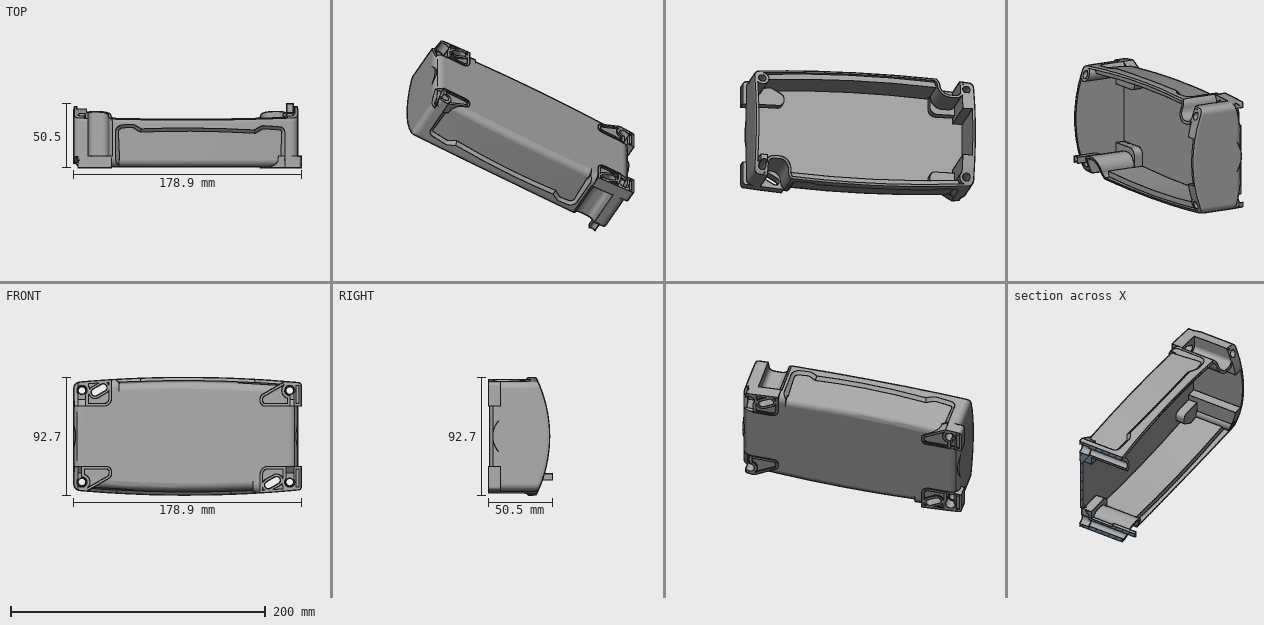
import cadquery as cq
import math


body_half_length = 88.08
body_half_width = 46.365
side_radius = 950.0
corner_radius = 5.3
front_y = 0.8
front_end_radius = 7.0
dome_top = 48.2
dome_radius = 104.0
rim_bevel_depth = 1.6
rim_bevel_inset = 0.5
bump_radius = 18.4
bump_low_y = 3.4

front_side_radius = 5.8
panel_front_depth = 3.8
panel_draft = 2.6
core_sweep = 14.0
panel_flare_z = 39.0
panel_flare_height = 8.7
panel_front_z = 34.0
panel_front_overrun = 3.0
panel_start = -49.6
panel_end = 73.6
panel_top = 27.8
panel_dip_top = 24.0
panel_dip_start = -37.0
panel_dip_end = 55.5
panel_dip_ramp = 6.0
panel_wall_angle = 45.0

notch_end = 77.0
notch_flat_end = 68.8
notch_crest = 52.6
notch_floor = 30.0
notch_floor_radius = 4.0

wall = 2.5
rim_wall = 2.0
rim_cavity_y = 35.0
floor_thickness = 2.6
cavity_corner_radius = 3.0

foot_height = 9.3
foot_inner_x = 58.4
foot_inner_z = 23.7
foot_outer_left = 84.9
foot_outer_right = 90.85
foot_corner_radius = 6.0
foot_outer_corner_radius = 2.5
brace_angle = 30.0
brace_start_z = 31.9
brace_tip_radius = 4.0
foot_lip = 2.0
pocket_depth = 1.2

hole_x = 81.65
hole_z = 35.95
hole_diameter = 5.9
counterbore_diameter = 8.0
counterbore_depth = 8.5
post_radius = 5.3
post_web_inner_x = 78.0
post_web_low_z = 19.0
pocket_post_radius = 6.3
slot_x = 68.1
slot_z = 36.4
slot_length = 13.3
slot_width = 5.8
slot_collar = 2.0
channel_outer_x = 84.9
square_channel_inner_x = 78.7
brace_channel_inner_x = 81.9
channel_ramp_z = 28.8
channel_mouth_depth = 4.0
channel_wall = 2.2
groove_inner_x = 86.6
groove_outer_x = 89.1
groove_low_z = 25.6
groove_high_z = 40.0

relief_high_y = 9.3
relief_high_z = 43.0
relief_low_y = 4.3
peg_width = 5.4
peg_x = 81.9
peg_low_z = -34.4
peg_high_z = -29.4
peg_base_y = 30.0
peg_top = 50.5

beyond = 60.0


def plan(y):
    """Workplane at height y whose local axes are X and Z; extrude(-d) goes towards +Y."""
    return cq.Workplane("XZ", origin=(0, y, 0))


def side_z(x, half_width):
    """Height of the bowed side at position x."""
    return half_width - side_radius + math.sqrt(side_radius**2 - x**2)


def bowed_prism(left, right, half_width, y_low, y_high):
    """Prism with two straight ends and two bowed long sides."""
    return (
        plan(y_low)
        .moveTo(left, -side_z(left, half_width))
        .threePointArc((0, -half_width), (right, -side_z(right, half_width)))
        .lineTo(right, side_z(right, half_width))
        .threePointArc((0, half_width), (left, side_z(left, half_width)))
        .close()
        .extrude(-(y_high - y_low))
    )


def turned(shape):
    """Copy of a shape turned half a revolution about the Y axis."""
    return shape.rotate((0, 0, 0), (0, 1, 0), 180)


def place(shape, side_x, side_z_sign):
    """Mirror a shape drawn in the +X +Z corner into another corner."""
    if side_x < 0:
        shape = shape.mirror("YZ")
    if side_z_sign < 0:
        shape = shape.mirror("XY")
    return shape


def make_dome():
    """Long cylinder whose crown limits the back of the housing."""
    return (
        cq.Workplane("YZ", origin=(-2 * beyond, 0, 0))
        .center(dome_top - dome_radius, 0)
        .circle(dome_radius)
        .extrude(4 * beyond)
    )


def make_body(dome):
    """Solid outer form: bowed sides, domed back, rounded front and a round bump on each end."""
    body = bowed_prism(-body_half_length, body_half_length, body_half_width, front_y, dome_top + 1)
    body = body.edges("|Y").fillet(corner_radius).intersect(dome)
    body = body.faces("<Y").edges().fillet(front_end_radius)
    for end in ("<X", ">X"):
        body = body.faces(end).edges(">Y").chamfer(rim_bevel_inset, rim_bevel_depth)
    bump = (
        cq.Workplane("YZ", origin=(-body_half_length, 0, 0))
        .center(bump_low_y + bump_radius, 0)
        .circle(bump_radius)
        .extrude(2 * body_half_length)
    )
    return body.union(bump)


def make_panel_core():
    """Solid under the +Z panel: drafted floor and rounded front edge, swept along the bow."""
    draft = math.radians(panel_draft)
    front_z = body_half_width - panel_front_depth
    tangent = front_side_radius * math.tan(math.radians((90 - panel_draft) / 2))
    back_z = front_z + (dome_top - front_y) * math.tan(draft)
    axis_z = body_half_width - side_radius
    profile = (
        cq.Workplane("YZ")
        .moveTo(front_y, 0)
        .lineTo(front_y, front_z - tangent)
        .tangentArcPoint(
            (front_y + tangent * math.cos(draft), front_z + tangent * math.sin(draft)), relative=False
        )
        .lineTo(dome_top, back_z)
        .lineTo(dome_top, 0)
        .close()
    )
    core = profile.revolve(core_sweep, (0, axis_z, 0), (1, axis_z, 0))
    return core.rotate((0, 0, axis_z), (0, 1, axis_z), -core_sweep / 2)


def make_panel_cutter():
    """Flaring recess in the +Z side; its floor is the bowed side moved inward."""
    core = make_panel_core()
    outline = [
        (panel_start, -foot_height),
        (panel_start, panel_top),
        (panel_dip_start - panel_dip_ramp, panel_top),
        (panel_dip_start, panel_dip_top),
        (panel_dip_end, panel_dip_top),
        (panel_dip_end + panel_dip_ramp, panel_top),
        (panel_end, panel_top),
        (panel_end, -foot_height),
    ]
    flare = (
        cq.Workplane("XY", origin=(0, 0, panel_flare_z))
        .polyline(outline)
        .close()
        .extrude(panel_flare_height, taper=-panel_wall_angle)
    )
    front_strip = (
        plan(-foot_height)
        .moveTo(panel_start - panel_front_overrun, panel_front_z)
        .lineTo(panel_end + panel_front_overrun, panel_front_z)
        .lineTo(panel_end + panel_front_overrun, beyond)
        .lineTo(panel_start - panel_front_overrun, beyond)
        .close()
        .extrude(-(foot_height + front_y + front_side_radius))
    )
    return flare.union(front_strip).cut(core)


def make_notch(margin=0.0):
    """Notch in the -X +Z corner; a margin gives the shape grown by a wall thickness."""
    middle_x = (notch_flat_end + notch_crest) / 2
    middle_z = (notch_floor + body_half_width) / 2
    shape = (
        plan(foot_height if margin == 0 else 0)
        .moveTo(-notch_end, beyond)
        .lineTo(-notch_end, notch_floor + notch_floor_radius)
        .radiusArc((-notch_end + notch_floor_radius, notch_floor), -notch_floor_radius)
        .lineTo(-notch_flat_end, notch_floor)
        .tangentArcPoint((-middle_x, middle_z), relative=False)
        .tangentArcPoint((-notch_crest, body_half_width), relative=False)
        .lineTo(-notch_crest, beyond)
        .close()
    )
    if margin:
        shape = shape.offset2D(margin)
    return shape.extrude(-beyond)


def square_foot(outer_x, height):
    """Block with one rounded inner corner."""
    return (
        plan(0)
        .moveTo(foot_inner_x, beyond)
        .lineTo(foot_inner_x, foot_inner_z + foot_corner_radius)
        .radiusArc((foot_inner_x + foot_corner_radius, foot_inner_z), -foot_corner_radius)
        .lineTo(outer_x, foot_inner_z)
        .lineTo(outer_x, beyond)
        .close()
        .extrude(-height)
    )


def brace_foot(outer_x, height):
    """Block whose long side slants to a rounded tip."""
    rise = (outer_x - foot_inner_x) * math.tan(math.radians(brace_angle))
    foot = (
        plan(0)
        .moveTo(foot_inner_x, foot_inner_z)
        .lineTo(outer_x, foot_inner_z)
        .lineTo(outer_x, brace_start_z + rise)
        .lineTo(foot_inner_x, brace_start_z)
        .close()
        .extrude(-height)
    )
    return foot.edges("|Y and <X").fillet(brace_tip_radius)


def make_foot(outer_x, slotted, height):
    """Foot in the +X +Z corner, trimmed by the bowed side."""
    foot = square_foot(outer_x, height) if slotted else brace_foot(outer_x, height)
    limit = bowed_prism(-outer_x, outer_x, body_half_width, 0, height)
    limit = limit.edges("|Y").fillet(foot_outer_corner_radius)
    return foot.intersect(limit)


def make_slot(width, y_low, y_high):
    """Slanted slot shape; a greater width grows it evenly all round."""
    return (
        plan(y_low)
        .center(slot_x, slot_z)
        .slot2D(slot_length - slot_width + width, width, -brace_angle)
        .extrude(-(y_high - y_low))
    )


def make_post(radius, y_low, y_high):
    """Cylinder on the screw axis."""
    return plan(y_low).center(hole_x, hole_z).circle(radius).extrude(-(y_high - y_low))


def make_post_web():
    """Rib inside the housing that widens a left post towards the middle of the end."""
    return (
        plan(front_y)
        .moveTo(post_web_inner_x, hole_z)
        .lineTo(body_half_length - wall, hole_z)
        .lineTo(body_half_length - wall, post_web_low_z)
        .lineTo(post_web_inner_x, post_web_low_z)
        .close()
        .extrude(-dome_top)
    )


def make_pocket(slotted):
    """Shallow pocket in a foot's front face, clear of the slot collar and screw post."""
    if slotted:
        outline = square_foot(square_channel_inner_x - channel_wall + foot_lip, pocket_depth)
    else:
        outline = brace_foot(brace_channel_inner_x - channel_wall + foot_lip, pocket_depth)
    outline = outline.intersect(
        bowed_prism(-body_half_length, body_half_length, body_half_width, 0, pocket_depth)
    )
    rim = outline.faces("<Y").wires().vals()
    pocket = plan(0).add(rim).toPending().offset2D(-foot_lip).extrude(-pocket_depth)
    pocket = pocket.cut(make_post(pocket_post_radius, 0, pocket_depth))
    if slotted:
        pocket = pocket.cut(make_slot(slot_width + 2 * slot_collar, 0, pocket_depth))
    return pocket


def make_channel(slotted):
    """Counterbore with a channel whose floor ramps up towards the middle of the end."""
    inner_x = square_channel_inner_x if slotted else brace_channel_inner_x
    channel = (
        cq.Workplane("YZ", origin=(inner_x, 0, 0))
        .moveTo(0, hole_z)
        .lineTo(counterbore_depth, hole_z)
        .lineTo(counterbore_depth, channel_ramp_z)
        .lineTo(channel_mouth_depth, foot_inner_z)
        .lineTo(0, foot_inner_z)
        .close()
        .extrude(channel_outer_x - inner_x)
    )
    return channel.union(make_post(counterbore_diameter / 2, 0, counterbore_depth))


def make_groove():
    """Narrow groove in the outer strip of a right foot."""
    return (
        plan(0)
        .moveTo(groove_inner_x, groove_low_z)
        .lineTo(groove_outer_x, groove_low_z)
        .lineTo(groove_outer_x, groove_high_z)
        .lineTo(groove_inner_x, groove_high_z)
        .close()
        .extrude(-pocket_depth)
    )


def make_relief():
    """Sloping cut that opens the left feet to the end of the housing."""
    slope = (relief_high_y - relief_low_y) / (relief_high_z - foot_inner_z)
    far_y = relief_low_y + slope * (beyond - foot_inner_z)
    return (
        cq.Workplane("YZ", origin=(foot_outer_left, 0, 0))
        .moveTo(0, foot_inner_z)
        .lineTo(relief_low_y, foot_inner_z)
        .lineTo(far_y, beyond)
        .lineTo(0, beyond)
        .close()
        .extrude(beyond)
    )


def make_cavity():
    """Inside of the housing, wider near the rim and kept clear of the notches."""
    end_x = body_half_length - wall
    narrow = body_half_width - panel_front_depth - wall
    wide = body_half_width - rim_wall
    cavity = bowed_prism(-end_x, end_x, narrow, front_y + floor_thickness, beyond)
    rim_cavity = bowed_prism(-end_x, end_x, wide, rim_cavity_y, beyond)
    cavity = cavity.union(rim_cavity).edges("|Y").fillet(cavity_corner_radius)
    grown_notch = make_notch(rim_wall)
    return cavity.cut(grown_notch).cut(turned(grown_notch))


def make_peg():
    """Peg that stands above the rim beside one screw hole."""
    return (
        plan(peg_base_y)
        .moveTo(peg_x - peg_width / 2, peg_low_z)
        .lineTo(peg_x + peg_width / 2, peg_low_z)
        .lineTo(peg_x + peg_width / 2, peg_high_z)
        .lineTo(peg_x - peg_width / 2, peg_high_z)
        .close()
        .extrude(-(peg_top - peg_base_y))
    )


corners = [(-1, 1, True), (1, -1, True), (1, 1, False), (-1, -1, False)]

dome = make_dome()
housing = make_body(dome)

panel_cutter = make_panel_cutter()
notch = make_notch()
housing = housing.cut(panel_cutter).cut(turned(panel_cutter))
housing = housing.cut(notch).cut(turned(notch))

for side_x, side_z_sign, slotted in corners:
    outer_x = foot_outer_right if side_x > 0 else foot_outer_left
    foot = make_foot(outer_x, slotted, foot_height)
    housing = housing.union(place(foot, side_x, side_z_sign))

cavity = make_cavity()
for side_x, side_z_sign, slotted in corners:
    pad = make_foot(body_half_length, slotted, counterbore_depth + wall)
    post = make_post(post_radius, front_y, dome_top)
    cavity = cavity.cut(place(pad, side_x, side_z_sign))
    cavity = cavity.cut(place(post, side_x, side_z_sign))
    if side_x < 0:
        cavity = cavity.cut(place(make_post_web(), side_x, side_z_sign))
housing = housing.cut(cavity)

housing = housing.union(make_peg())

for side_x, side_z_sign, slotted in corners:
    cuts = [make_pocket(slotted), make_channel(slotted), make_post(hole_diameter / 2, 0, beyond)]
    if slotted:
        cuts.append(make_slot(slot_width, 0, beyond))
    if side_x > 0:
        cuts.append(make_groove())
    else:
        cuts.append(make_relief())
    for cut in cuts:
        housing = housing.cut(place(cut, side_x, side_z_sign))

result = housing.translate(((body_half_length - foot_outer_right) / 2, 0, 0))